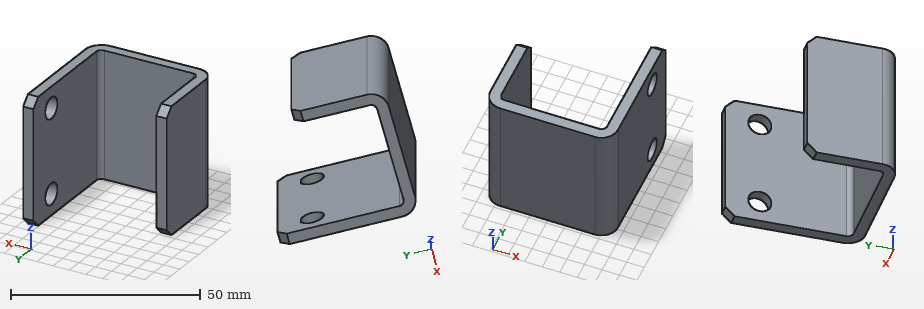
import cadquery as cq

width = 36.5
depth = 38.1
height = 38.1

thickness = 3.15
outer_bend_radius = 4.75
inner_bend_radius = outer_bend_radius - thickness

short_leg_depth = 25.4
corner_chamfer = 2.55

hole_diameter = 6.35
hole_edge_distance = 9.52
hole_end_distance = 6.35


def make_channel():
    """J-shaped channel: a front web with a leg bent back at each side."""
    outer = (
        cq.Workplane("XY")
        .rect(width, depth, centered=False)
        .extrude(height)
        .edges("|Z and <Y")
        .fillet(outer_bend_radius)
    )
    inner = (
        cq.Workplane("XY")
        .moveTo(thickness, thickness)
        .rect(width - 2 * thickness, depth, centered=False)
        .extrude(height)
        .edges("|Z and <Y")
        .fillet(inner_bend_radius)
    )
    short_leg_trim = (
        cq.Workplane("XY")
        .moveTo(0, short_leg_depth)
        .rect(width / 2, depth - short_leg_depth, centered=False)
        .extrude(height)
    )
    return outer.cut(inner).cut(short_leg_trim)


def make_corner_cutter(leg_x, leg_depth):
    """Triangular prisms at the two free corners of one leg."""
    cutter = cq.Workplane("YZ", origin=(leg_x, 0, 0))
    for corner_z, inward in ((0, 1), (height, -1)):
        cutter = cutter.polyline(
            [
                (leg_depth, corner_z),
                (leg_depth - corner_chamfer, corner_z),
                (leg_depth, corner_z + inward * corner_chamfer),
            ]
        ).close()
    return cutter.extrude(thickness)


def make_hole_cutter():
    """Two round holes through the long leg."""
    hole_y = depth - hole_edge_distance
    return (
        cq.Workplane("YZ", origin=(width - thickness, 0, 0))
        .pushPoints([(hole_y, hole_end_distance), (hole_y, height - hole_end_distance)])
        .circle(hole_diameter / 2)
        .extrude(thickness)
    )


result = (
    make_channel()
    .cut(make_corner_cutter(0, short_leg_depth))
    .cut(make_corner_cutter(width - thickness, depth))
    .cut(make_hole_cutter())
)